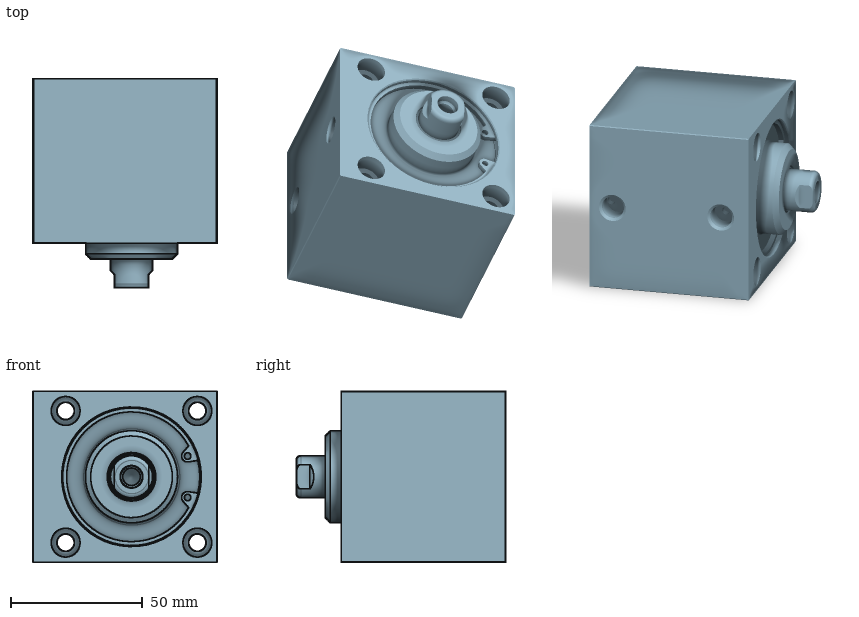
import cadquery as cq
import math


WIDTH = 70.0
HEIGHT = 65.0
LENGTH = 62.5
AXIS_OFFSET = 2.5
EDGE_CHAMFER = 0.3

BOLT_SPACING = 50.0
BOLT_DIAMETER = 6.5
BOLT_HEAD_DIAMETER = 11.0
BOLT_HEAD_DEPTH = 7.0

PORT_DIAMETER = 8.6
PORT_MOUTH_DIAMETER = 10.5
PORT_DEPTH = 8.0
PASSAGE_DIAMETER = 3.0
PASSAGE_LENGTH = 3.0
FRONT_PORT_Y = 11.0
REAR_PORT_Y = LENGTH - 9.0
REAR_PASSAGE_Y = REAR_PORT_Y + 2.5

SEAT_DIAMETER = 52.2
SEAT_MOUTH_DIAMETER = 53.0
SEAT_DEPTH = 9.0

FLANGE_DIAMETER = 51.8
FLANGE_RECESS = 3.8
BOSS_DIAMETER = 35
BOSS_HEIGHT = 6.05
BOSS_CHAMFER = 2.0
BOSS_ROOT_RADIUS = 0.8

OPENING_DIAMETER = 18.0
OPENING_CHAMFER = 0.2
WIPER_DIAMETER = 17.7
WIPER_GAP_DEPTH = 1.0
WIPER_LIP_DIAMETER = 16.5
WIPER_LIP_DROP = 0.15
WIPER_SHOULDER_DROP = 0.6

RING_THICKNESS = 2.0
RING_OUTER_DIAMETER = 55.0
RING_INNER_DIAMETER = 49.3
RING_BODY_ANGLE = 28.4
RING_END_ANGLE = 14
LUG_DIAMETER = 4.5
LUG_HOLE_DIAMETER = 2.5
LUG_X = 21.3
LUG_Z = 7.9
LUG_SHOULDER_ANGLE = 133
LUG_END_ANGLE = -78

ROD_DIAMETER = 16.0
ROD_LENGTH = 17.0
ROD_END_RADIUS = 1.7
FLAT_SPACING = 13.0
FLAT_LENGTH = 5.2
ROD_HOLE_DIAMETER = 6.7
ROD_HOLE_DEPTH = 11.9
ROD_RELIEF_DIAMETER = 8.3
ROD_RELIEF_DEPTH = 2.8
ROD_MOUTH_DIAMETER = 8.6
DRILL_POINT_ANGLE = 118


def cylinder_y(diameter, start, end):
    """Cylinder on the Y axis from start to end."""
    return cq.Workplane("XZ", origin=(0, start, 0)).circle(diameter / 2).extrude(start - end)


def revolve_y(points):
    """Turn a closed (radius, y) outline around the Y axis."""
    return cq.Workplane("XY").polyline(points).close().revolve(360, (0, 0, 0), (0, 1, 0))


def mouth_cone(outer_diameter, inner_diameter, y):
    """45 degree countersink on the Y axis, opening toward -Y at height y."""
    depth = (outer_diameter - inner_diameter) / 2
    return revolve_y([
        (0, y),
        (outer_diameter / 2, y),
        (inner_diameter / 2, y + depth),
        (0, y + depth),
    ])


def make_port(port_y, passage_y):
    """Port bore with a countersunk mouth and a small passage in its floor."""
    side_x = -AXIS_OFFSET - WIDTH / 2
    mouth_depth = (PORT_MOUTH_DIAMETER - PORT_DIAMETER) / 2
    bore = cq.Workplane("YZ", origin=(side_x, port_y, 0)).circle(PORT_DIAMETER / 2).extrude(PORT_DEPTH)
    mouth = (
        cq.Workplane("YZ", origin=(side_x, port_y, 0))
        .circle(PORT_MOUTH_DIAMETER / 2)
        .workplane(offset=mouth_depth)
        .circle(PORT_DIAMETER / 2)
        .loft()
    )
    passage = (
        cq.Workplane("YZ", origin=(side_x, passage_y, 0))
        .circle(PASSAGE_DIAMETER / 2)
        .extrude(PORT_DEPTH + PASSAGE_LENGTH)
    )
    return bore.union(mouth).union(passage)


def make_housing():
    """Block with bolt holes, oil ports, and the stepped seat for the cover and its ring."""
    block = (
        cq.Workplane("XY")
        .box(WIDTH, LENGTH, HEIGHT)
        .edges("|Y")
        .chamfer(EDGE_CHAMFER)
        .translate((-AXIS_OFFSET, LENGTH / 2, 0))
    )
    bolt_hole = cylinder_y(BOLT_DIAMETER, 0, LENGTH).union(
        cylinder_y(BOLT_HEAD_DIAMETER, 0, BOLT_HEAD_DEPTH)
    )
    for side_x in (-1, 1):
        for side_z in (-1, 1):
            place = (side_x * BOLT_SPACING / 2, 0, side_z * BOLT_SPACING / 2)
            block = block.cut(bolt_hole.translate(place))
    for port_y, passage_y in ((FRONT_PORT_Y, FRONT_PORT_Y), (REAR_PORT_Y, REAR_PASSAGE_Y)):
        block = block.cut(make_port(port_y, passage_y))
    block = block.cut(cylinder_y(SEAT_DIAMETER, 0, SEAT_DEPTH))
    block = block.cut(mouth_cone(SEAT_MOUTH_DIAMETER, SEAT_DIAMETER, 0))
    ring_groove = cylinder_y(RING_OUTER_DIAMETER, FLANGE_RECESS - RING_THICKNESS, FLANGE_RECESS)
    return block.cut(ring_groove)


def polar_point(radius, angle, centre=(0, 0)):
    """Point at an angle in degrees on a circle."""
    turn = math.radians(angle)
    return (centre[0] + radius * math.cos(turn), centre[1] + radius * math.sin(turn))


def make_ring():
    """Open retaining ring with an eyelet at each end, lying on the flange."""
    plane = cq.Workplane("XZ", origin=(0, FLANGE_RECESS, 0))
    outer_radius = RING_OUTER_DIAMETER / 2
    inner_radius = RING_INNER_DIAMETER / 2
    middle_radius = (outer_radius + inner_radius) / 2
    ring = plane.circle(outer_radius).circle(inner_radius).extrude(RING_THICKNESS)

    gap_reach = 2 * outer_radius
    gap_outline = [
        (0, 0),
        polar_point(gap_reach, -RING_END_ANGLE),
        polar_point(gap_reach, RING_END_ANGLE),
    ]
    ring = ring.cut(plane.polyline(gap_outline).close().extrude(RING_THICKNESS))

    lug_centre = (LUG_X, LUG_Z)
    lug_radius = LUG_DIAMETER / 2
    web_outline = [
        polar_point(inner_radius, RING_BODY_ANGLE),
        polar_point(lug_radius, LUG_SHOULDER_ANGLE, lug_centre),
        polar_point(lug_radius, LUG_END_ANGLE, lug_centre),
        polar_point(middle_radius, RING_END_ANGLE),
        polar_point(middle_radius, RING_BODY_ANGLE),
    ]
    lug = plane.center(*lug_centre).circle(lug_radius).extrude(RING_THICKNESS)
    web = plane.polyline(web_outline).close().extrude(RING_THICKNESS)
    hole = plane.center(*lug_centre).circle(LUG_HOLE_DIAMETER / 2).extrude(RING_THICKNESS)
    eyelet = lug.union(web).cut(hole)
    return ring.union(eyelet).union(eyelet.mirror("XY"))


def make_cover():
    """Flanged cover with a boss, a wiper lip around the rod, and its retaining ring."""
    boss_face = -BOSS_HEIGHT
    opening_radius = OPENING_DIAMETER / 2
    gap_floor = boss_face + WIPER_GAP_DEPTH
    rod_radius = ROD_DIAMETER / 2
    boss_radius = BOSS_DIAMETER / 2
    root_middle = BOSS_ROOT_RADIUS * (1 - math.sqrt(0.5))
    body = (
        cq.Workplane("XY")
        .moveTo(rod_radius, SEAT_DEPTH)
        .lineTo(FLANGE_DIAMETER / 2, SEAT_DEPTH)
        .lineTo(FLANGE_DIAMETER / 2, FLANGE_RECESS)
        .lineTo(boss_radius + BOSS_ROOT_RADIUS, FLANGE_RECESS)
        .threePointArc(
            (boss_radius + root_middle, FLANGE_RECESS - root_middle),
            (boss_radius, FLANGE_RECESS - BOSS_ROOT_RADIUS),
        )
        .lineTo(boss_radius, boss_face + BOSS_CHAMFER)
        .lineTo(boss_radius - BOSS_CHAMFER, boss_face)
        .lineTo(opening_radius + OPENING_CHAMFER, boss_face)
        .lineTo(opening_radius, boss_face + OPENING_CHAMFER)
        .lineTo(opening_radius, gap_floor)
        .lineTo(WIPER_DIAMETER / 2, gap_floor)
        .lineTo(WIPER_DIAMETER / 2, boss_face + WIPER_SHOULDER_DROP)
        .lineTo(WIPER_LIP_DIAMETER / 2, boss_face + WIPER_LIP_DROP)
        .lineTo(rod_radius, boss_face + WIPER_SHOULDER_DROP)
        .close()
        .revolve(360, (0, 0, 0), (0, 1, 0))
    )
    return body.union(make_ring())


def make_rod():
    """Piston rod with a rounded end, two wrench flats and a blind end hole."""
    tip = -ROD_LENGTH
    rod = cylinder_y(ROD_DIAMETER, tip, SEAT_DEPTH).faces("<Y").edges().fillet(ROD_END_RADIUS)

    step = (ROD_DIAMETER - FLAT_SPACING) / 2
    flat_end = tip + FLAT_LENGTH
    flat = (
        cq.Workplane("XY", origin=(0, 0, -ROD_DIAMETER / 2))
        .polyline([
            (FLAT_SPACING / 2, tip),
            (ROD_DIAMETER / 2, tip),
            (ROD_DIAMETER / 2, flat_end + step),
            (FLAT_SPACING / 2, flat_end),
        ])
        .close()
        .extrude(ROD_DIAMETER)
    )
    rod = rod.cut(flat).cut(flat.mirror("YZ"))

    hole_radius = ROD_HOLE_DIAMETER / 2
    relief_radius = ROD_RELIEF_DIAMETER / 2
    mouth_radius = ROD_MOUTH_DIAMETER / 2
    hole_floor = tip + ROD_HOLE_DEPTH
    relief_floor = tip + ROD_RELIEF_DEPTH
    point_depth = hole_radius / math.tan(math.radians(DRILL_POINT_ANGLE / 2))
    hole = revolve_y([
        (0, tip),
        (mouth_radius, tip),
        (relief_radius, tip + mouth_radius - relief_radius),
        (relief_radius, relief_floor),
        (hole_radius, relief_floor + relief_radius - hole_radius),
        (hole_radius, hole_floor),
        (0, hole_floor + point_depth),
    ])
    return rod.cut(hole)


housing = make_housing()
cover = make_cover()
rod = make_rod()

result = cq.Compound.makeCompound([housing.val(), cover.val(), rod.val()])